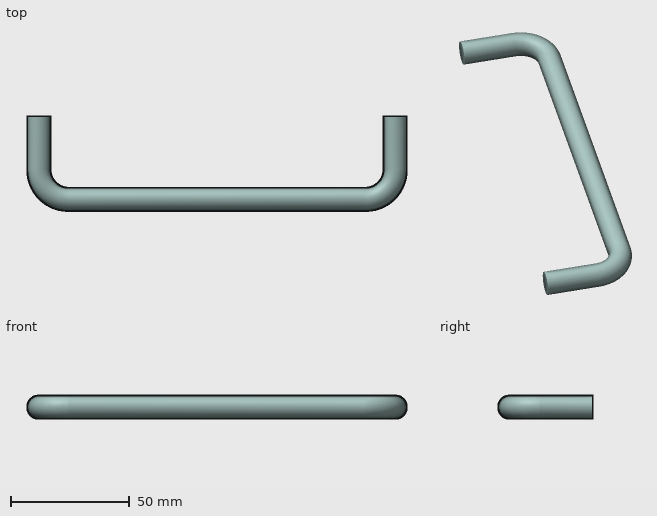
import cadquery as cq

length = 160.0
depth = 40.0
rod_diameter = 10.0
bend_radius = 12.5

rod_radius = rod_diameter / 2
leg_x = length / 2 - rod_radius
grip_y = -(depth - rod_radius)
leg_bend_y = grip_y + bend_radius
grip_bend_x = leg_x - bend_radius

centreline = (
    cq.Workplane("XY")
    .moveTo(-leg_x, 0)
    .lineTo(-leg_x, leg_bend_y)
    .radiusArc((-grip_bend_x, grip_y), -bend_radius)
    .lineTo(grip_bend_x, grip_y)
    .radiusArc((leg_x, leg_bend_y), -bend_radius)
    .lineTo(leg_x, 0)
)

result = (
    cq.Workplane("XZ", origin=(-leg_x, 0, 0))
    .circle(rod_radius)
    .sweep(centreline)
)